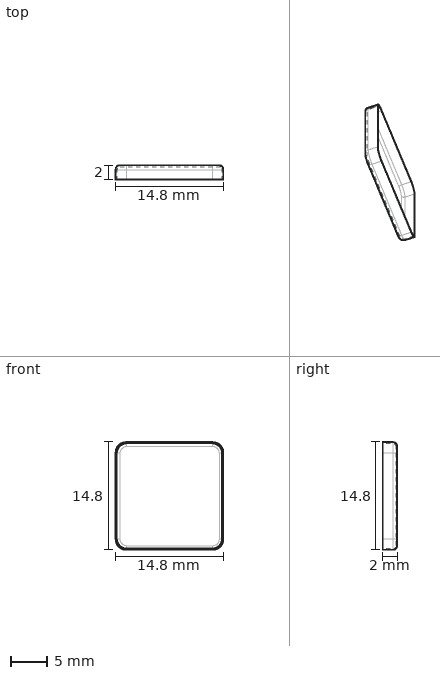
import cadquery as cq

side = 14.8
depth = 2.0
wall = 0.2
corner_radius = 1.5
floor_edge_radius = 0.6


def rounded_block(inset):
    """Rounded block, inset from the outer skin, running from the open face at Y = 0 towards +Y."""
    width = side - 2 * inset
    height = depth - inset
    block = cq.Workplane("XZ").rect(width, width).extrude(-height)
    block = block.edges("|Y").fillet(corner_radius - inset)
    return block.faces(">Y").edges().fillet(floor_edge_radius - inset)


outer_body = rounded_block(0)
cavity = rounded_block(wall)

result = outer_body.cut(cavity)